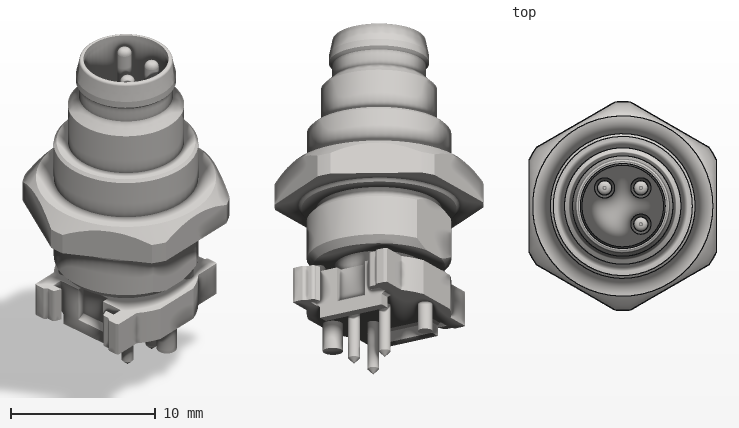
import cadquery as cq
import math

TOTAL_HEIGHT = 24.1
OVERLAP = 0.25
SELECT_MARGIN = 0.02

HOUSING_BOTTOM_Z = 7.33
NECK_BOTTOM_Z = 11.33
HEX_BOTTOM_Z = 11.78
HEX_TOP_Z = 14.3
COLLAR_TOP_Z = 17.3
BARREL_TOP_Z = 20.35
GROOVE_BOTTOM_Z = 21.06
GROOVE_TOP_Z = 22.12
LIP_TAPER_Z = 22.82

THREAD_R = 10.0 / 2
NECK_R = 4.35
COLLAR_R = THREAD_R
BARREL_R = 4.02
GROOVE_R = 3.25
LIP_R = 3.47
RIM_R = 3.2
BORE_R = 2.95

THREAD_CHAMFER_HEIGHT = 0.5
THREAD_CHAMFER_WIDTH = 0.43
THREAD_FLAT_X = 4.48
COLLAR_CHAMFER = 0.2
RIM_ROUND = 0.17

HEX_ACROSS_FLATS = 13.0
HEX_CORNER_R = 14.44 / 2
HEX_CHAMFER = 1.0

SEAL_R = 5.6
SEAL_HEIGHT = 0.22

PLATE_BOTTOM_Z = 3.8
PLATE_TOP_Z = 6.31
PLATE_HEIGHT = PLATE_TOP_Z - PLATE_BOTTOM_Z
PLATE_R = THREAD_R
PLATE_HALF_X = 4.7
ARM_OUTER_X = 3.83
ARM_END_Y = 5.18
ARM_CHAMFER_X = 0.22
ARM_CHAMFER_Y = 0.07
ARM_STEP_OUTER_X = 3.01
ARM_STEP_INNER_X = 2.8
ARM_STEP_Y = 4.96
HOOK_TIP_X = 2.05
HOOK_ROUND_START_X = 2.43
HOOK_ROUND_END_X = 2.2
HOOK_ROUND_END_Y = 4.72
HOOK_INNER_Y = 4.4
SLOT_END_X = 2.77
WALL_Y = 3.66

WINDOW_HALF_X = 1.13
WINDOW_DEPTH = 0.5
WINDOW_SILL_RISE = 0.3
FOOT_HALF_X = 2.5
FOOT_THICKNESS = 0.75
FOOT_BOTTOM_Z = 2.87
FOOT_ROOT_CHAMFER = 0.17

STEM_R = 3.08
INSERT_TOP_Z = COLLAR_TOP_Z
INSERT_CHAMFER = 0.12
PEG_X = 3.28
PEG_Y = 2.6
PEG_R = 0.48
PEG_TOP_Z = 7.1
PEG_CHAMFER_HEIGHT = 0.15
PEG_CHAMFER_WIDTH = 0.085
POST_X = 3.75
POST_BOTTOM_Z = 1.8
SMALL_POST_R = 0.5
LARGE_POST_R = 0.7

PIN_OFFSET = 1.25
PIN_SIGNS = [(-1, 1), (1, 1), (1, -1)]
CONTACT_R = 1.0 / 2
CONTACT_TOP_Z = 23.8
CONTACT_ROUND = 0.39
SOLDER_PIN_R = 0.4
PIN_RECESS_R = 0.7


def cylinder(radius, bottom_z, top_z, x=0.0, y=0.0):
    """Upright cylinder between two heights."""
    return cq.Workplane("XY", origin=(x, y, bottom_z)).circle(radius).extrude(top_z - bottom_z)


def turned(points):
    """Solid of revolution about Z from (radius, height) points."""
    return cq.Workplane("XZ").polyline(points).close().revolve(360, (0, 0, 0), (0, 1, 0))


def make_threaded_end():
    """Undercut neck and threaded barrel with two flats."""
    barrel = turned([
        (0, HOUSING_BOTTOM_Z),
        (THREAD_R - THREAD_CHAMFER_WIDTH, HOUSING_BOTTOM_Z),
        (THREAD_R, HOUSING_BOTTOM_Z + THREAD_CHAMFER_HEIGHT),
        (THREAD_R, NECK_BOTTOM_Z - (THREAD_R - NECK_R)),
        (NECK_R, NECK_BOTTOM_Z),
        (NECK_R, HEX_BOTTOM_Z + OVERLAP),
        (0, HEX_BOTTOM_Z + OVERLAP),
    ])
    height = HEX_BOTTOM_Z + OVERLAP - HOUSING_BOTTOM_Z
    between_flats = (
        cq.Workplane("XY", origin=(0, 0, HOUSING_BOTTOM_Z))
        .rect(2 * THREAD_FLAT_X, 2 * THREAD_R)
        .extrude(height)
    )
    return barrel.intersect(between_flats)


def make_hexagon():
    """Hexagon with corners on the Y axis, turned and coned at its corners."""
    across_corners = HEX_ACROSS_FLATS / math.cos(math.radians(30))
    prism = (
        cq.Workplane("XY", origin=(0, 0, HEX_BOTTOM_Z))
        .transformed(rotate=(0, 0, 30))
        .polygon(6, across_corners)
        .extrude(HEX_TOP_Z - HEX_BOTTOM_Z)
    )
    corner_limit = turned([
        (0, HEX_BOTTOM_Z),
        (HEX_CORNER_R, HEX_BOTTOM_Z),
        (HEX_CORNER_R, HEX_TOP_Z - HEX_CHAMFER),
        (HEX_CORNER_R - HEX_CHAMFER, HEX_TOP_Z),
        (0, HEX_TOP_Z),
    ])
    return prism.intersect(corner_limit)


def make_plug_end():
    """Collar, barrel, locking groove and tapered lip above the hexagon."""
    plug = turned([
        (0, HEX_TOP_Z - OVERLAP),
        (COLLAR_R, HEX_TOP_Z - OVERLAP),
        (COLLAR_R, COLLAR_TOP_Z - COLLAR_CHAMFER),
        (COLLAR_R - COLLAR_CHAMFER, COLLAR_TOP_Z),
        (BARREL_R, COLLAR_TOP_Z),
        (BARREL_R, BARREL_TOP_Z),
        (GROOVE_R, GROOVE_BOTTOM_Z),
        (GROOVE_R, GROOVE_TOP_Z),
        (LIP_R, GROOVE_TOP_Z + LIP_R - GROOVE_R),
        (LIP_R, LIP_TAPER_Z),
        (RIM_R, TOTAL_HEIGHT),
        (0, TOTAL_HEIGHT),
    ])
    return plug.faces(">Z").edges().fillet(RIM_ROUND)


def make_housing():
    body = make_threaded_end().union(make_hexagon()).union(make_plug_end())
    bore = cylinder(BORE_R, HOUSING_BOTTOM_Z, TOTAL_HEIGHT)
    return body.cut(bore)


def make_seal_ring():
    """Ring around the neck, against the underside of the hexagon."""
    return turned([
        (NECK_R, HEX_BOTTOM_Z),
        (SEAL_R, HEX_BOTTOM_Z),
        (SEAL_R - SEAL_HEIGHT, HEX_BOTTOM_Z - SEAL_HEIGHT),
        (NECK_R, HEX_BOTTOM_Z - SEAL_HEIGHT),
    ])


def arm_outline():
    """One quarter of the plate from the axis to the +X +Y arm, hook and slot."""
    flat_end_y = math.sqrt(PLATE_R**2 - PLATE_HALF_X**2)
    arm_root_y = math.sqrt(PLATE_R**2 - ARM_OUTER_X**2)
    arc_angle = (math.atan2(flat_end_y, PLATE_HALF_X) + math.atan2(arm_root_y, ARM_OUTER_X)) / 2
    arc_middle = (PLATE_R * math.cos(arc_angle), PLATE_R * math.sin(arc_angle))
    return (
        cq.Workplane("XY", origin=(0, 0, PLATE_BOTTOM_Z))
        .lineTo(PLATE_HALF_X, 0)
        .lineTo(PLATE_HALF_X, flat_end_y)
        .threePointArc(arc_middle, (ARM_OUTER_X, arm_root_y))
        .lineTo(ARM_OUTER_X, ARM_END_Y - ARM_CHAMFER_Y)
        .lineTo(ARM_OUTER_X - ARM_CHAMFER_X, ARM_END_Y)
        .lineTo(ARM_STEP_OUTER_X, ARM_END_Y)
        .lineTo(ARM_STEP_INNER_X, ARM_STEP_Y)
        .lineTo(HOOK_ROUND_START_X, ARM_STEP_Y)
        .tangentArcPoint((HOOK_ROUND_END_X, HOOK_ROUND_END_Y), relative=False)
        .lineTo(HOOK_TIP_X, HOOK_INNER_Y)
        .lineTo(SLOT_END_X, HOOK_INNER_Y)
        .lineTo(SLOT_END_X, WALL_Y)
        .lineTo(0, WALL_Y)
        .close()
    )


def make_plate():
    """Base plate with four hooked arms, mirrored from one quarter."""
    quarter = arm_outline().extrude(PLATE_HEIGHT)
    half = quarter.union(quarter.mirror("YZ"))
    return half.union(half.mirror("XZ"))


def make_window():
    """Pocket in the +Y wall, open at the top, with a sill that slopes down outwards."""
    return (
        cq.Workplane("YZ", origin=(-WINDOW_HALF_X, 0, 0))
        .polyline([
            (WALL_Y, PLATE_BOTTOM_Z),
            (WALL_Y, PLATE_TOP_Z),
            (WALL_Y - WINDOW_DEPTH, PLATE_TOP_Z),
            (WALL_Y - WINDOW_DEPTH, PLATE_BOTTOM_Z + WINDOW_SILL_RISE),
        ])
        .close()
        .extrude(2 * WINDOW_HALF_X)
    )


def add_foot(plate, side):
    """Foot flush with the wall on one side (-1 or +1), flared into the plate at its root."""
    foot_centre_y = side * (WALL_Y - FOOT_THICKNESS / 2)
    foot = (
        cq.Workplane("XY", origin=(0, foot_centre_y, FOOT_BOTTOM_Z))
        .rect(2 * FOOT_HALF_X, FOOT_THICKNESS)
        .extrude(PLATE_BOTTOM_Z + OVERLAP - FOOT_BOTTOM_Z)
    )
    root_edges = cq.selectors.BoxSelector(
        (-FOOT_HALF_X - SELECT_MARGIN, side * (WALL_Y - SELECT_MARGIN), PLATE_BOTTOM_Z - SELECT_MARGIN),
        (
            FOOT_HALF_X + SELECT_MARGIN,
            side * (WALL_Y - FOOT_THICKNESS - SELECT_MARGIN),
            PLATE_BOTTOM_Z + SELECT_MARGIN,
        ),
    )
    return plate.union(foot).edges(root_edges).chamfer(FOOT_ROOT_CHAMFER)


def make_peg(x, y):
    peg = cylinder(PEG_R, PLATE_TOP_Z - OVERLAP, PEG_TOP_Z, x, y)
    return peg.faces(">Z").chamfer(PEG_CHAMFER_HEIGHT, PEG_CHAMFER_WIDTH)


def make_pin(x, y):
    """Contact with a rounded top and a thinner solder pin with a pointed end."""
    contact = cylinder(CONTACT_R, PLATE_TOP_Z, CONTACT_TOP_Z, x, y)
    contact = contact.faces(">Z").edges().fillet(CONTACT_ROUND)
    solder_pin = turned([
        (0, 0),
        (SOLDER_PIN_R, SOLDER_PIN_R),
        (SOLDER_PIN_R, PLATE_TOP_Z + OVERLAP),
        (0, PLATE_TOP_Z + OVERLAP),
    ])
    return contact.union(solder_pin.translate((x, y, 0)))


def make_pin_recess(x, y):
    """Conical recess in the top of the insert around one contact."""
    depth = PIN_RECESS_R - CONTACT_R
    cone = turned([
        (0, INSERT_TOP_Z - depth),
        (CONTACT_R, INSERT_TOP_Z - depth),
        (PIN_RECESS_R, INSERT_TOP_Z),
        (0, INSERT_TOP_Z),
    ])
    return cone.translate((x, y, 0))


def make_carrier():
    """Contact carrier: plate, stem, insert in the housing bore, locating parts and contacts."""
    carrier = make_plate()
    for side in (-1, 1):
        carrier = add_foot(carrier, side)
    window = make_window()
    carrier = carrier.cut(window).cut(window.mirror("XZ"))
    carrier = carrier.union(cylinder(STEM_R, PLATE_TOP_Z - OVERLAP, HOUSING_BOTTOM_Z))
    insert = cylinder(BORE_R, PLATE_TOP_Z, INSERT_TOP_Z).faces(">Z").chamfer(INSERT_CHAMFER)
    carrier = carrier.union(insert)
    for side in (-1, 1):
        carrier = carrier.union(make_peg(side * PEG_X, side * PEG_Y))
    for x, radius in ((-POST_X, SMALL_POST_R), (POST_X, LARGE_POST_R)):
        carrier = carrier.union(cylinder(radius, POST_BOTTOM_Z, PLATE_BOTTOM_Z + OVERLAP, x))
    for sign_x, sign_y in PIN_SIGNS:
        x = sign_x * PIN_OFFSET
        y = sign_y * PIN_OFFSET
        carrier = carrier.cut(make_pin_recess(x, y)).union(make_pin(x, y))
    return carrier


housing = make_housing()
seal_ring = make_seal_ring()
carrier = make_carrier()

result = cq.Compound.makeCompound([housing.solids().val(), seal_ring.val(), carrier.solids().val()])